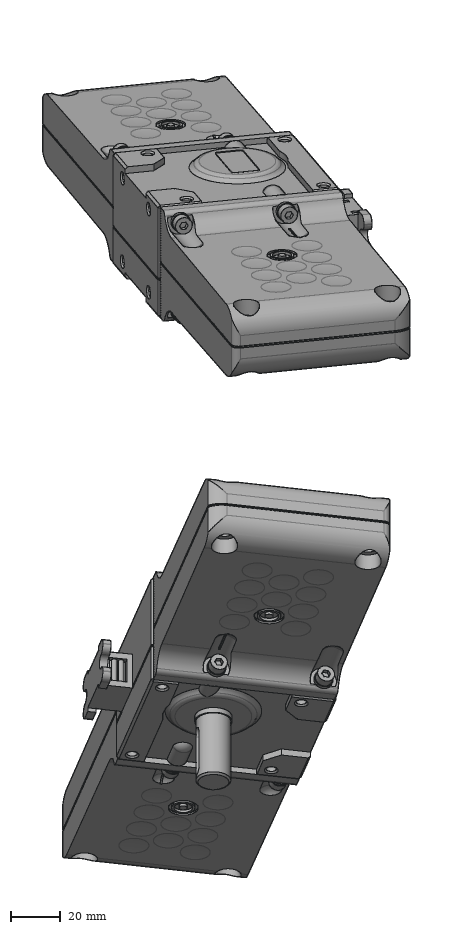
import cadquery as cq
import math


HUB_HALF_X = 33.0
HUB_HALF_Y = 38.0
HUB_HALF_Z = 24.0
HUB_CHAMFER = 1.0
HUB_SEAM_Z = -7.5
SEAM_WIDTH = 0.7
SEAM_DEPTH = 0.5

RECESS_FLOOR_Z = 21.2
BACK_PAD_Y = 26.7
FRONT_PAD_Y = -19.8
FRONT_PAD_X = 14.8
PAD_CORNER_CUT = 6.2

SHAFT_X = -9.2
SHAFT_Y = 7.3
BOSS_BASE_RADIUS = 19.4
BOSS_MIDDLE_RADIUS = 17.5
BOSS_TOP_RADIUS = 15.4
BOSS_MIDDLE_Z = 22.8
BOSS_TOP_Z = 23.8
BOSS_CLEARANCE_RADIUS = 20.4
LABEL_LENGTH = 25.0
LABEL_WIDTH = 11.6
LABEL_CORNER_RADIUS = 1.0
LABEL_DEPTH = 0.4

TAP_DIAMETER = 4.13
TAP_MOUTH_DIAMETER = 5.5
TAP_DEPTH = 9.0
TAP_TIP_ANGLE = 118.0
TOP_HOLE_X = 27.8
TOP_HOLE_BACK_Y = 32.5
TOP_HOLE_FRONT_Y = -24.7
FRONT_HOLE_X = 18.7
FRONT_HOLE_Z = 17.8

BOLT_BACK_Y = 13.0
BOLT_FRONT_Y = -31.0
BOLT_Z = 19.2
THREAD_BOSS_RADIUS = 4.5
THREAD_BOSS_ROUND_X = 22.0
BOLT_SEAT_X = 39.7
WASHER_DIAMETER = 7.6
WASHER_THICKNESS = 1.6
HEAD_DIAMETER = 7.0
HEAD_HEIGHT = 4.0
HEX_ACROSS_CORNERS = 3.46
HEX_DEPTH = 2.0
SLOT_RADIUS = 5.5
SLOT_ROUND_X = 57.5
SLOT_SLIT_WIDTH = 0.7
SLOT_SLIT_DEPTH = 0.5
SLOT_SLIT_START_X = 45.5

WING_TIP_X = 137.5
WING_HALF_Y = 37.3
RIM_HALF_Z = 23.6
RIM_FLAT_END_X = 37.1
RIM_EDGE_Z = 22.0
NECK_RADIUS = 10.5
NECK_END_X = 49.0
WING_ROOT_HALF_Z = 15.9
WING_TIP_HALF_Z = 15.1
TIP_EDGE_RADIUS = 10.22
TIP_BACK_RADIUS = 10.0
TIP_BACK_LENGTH = 7.0
TIP_FRONT_RADIUS = 3.0

TIP_HOLE_X = 129.5
TIP_HOLE_Y = 29.5
TIP_HOLE_DIAMETER = 6.1
TIP_COUNTERBORE_DIAMETER = 10.5
TIP_COUNTERBORE_FLOOR_Z = 8.5

DIMPLE_DIAMETER = 12.0
DIMPLE_DEPTH = 0.4
DIMPLE_PITCH = 14.0
DIMPLE_ROW_PITCH = 12.6
DIMPLE_FIRST_X = 72.5
OUTER_ROW_COUNT = 4
MIDDLE_ROW_COUNT = 3
PLUG_GROOVE_INNER_DIAMETER = 9.5
PLUG_GROOVE_DEPTH = 0.8
PLUG_BORE_DIAMETER = 7.6
PLUG_BORE_DEPTH = 1.2
PLUG_CORE_DIAMETER = 3.24

SHAFT_DIAMETER = 14.0
SHAFT_END_Z = -54.0
SHAFT_CHAMFER = 0.8
COLLAR_DIAMETER = 15.0
COLLAR_END_Z = -26.0
SHAFT_SEAT_Z = -9.0
KEYWAY_WIDTH = 5.0
KEYWAY_DEPTH = 3.0
KEYWAY_TOP_Z = -30.0
KEYWAY_BOTTOM_Z = -52.0

CONNECTOR_X = 12.3
CONNECTOR_WIDTH = 19.5
CONNECTOR_HALF_Z = 7.8
CONNECTOR_END_Y = 52.0
FLANGE_LENGTH = 36.4
FLANGE_HEIGHT = 19.0
FLANGE_THICKNESS = 3.4
FLANGE_CORNER_RADIUS = 3.1
FLANGE_NOTCH_RADIUS = 3.1
FLANGE_NOTCH_DEPTH = 6.4
SIDE_POCKET_START_Y = 40.3
SIDE_POCKET_END_Y = 47.3
SIDE_POCKET_HALF_Z = 5.2
SIDE_POCKET_DEPTH = 2.5
POCKET_BAR_DIAMETER = 2.3
POCKET_BARS_Y = (42.2, 45.0)
LATCH_WIDTH = 1.8
LATCH_LENGTH = 2.5
LATCH_DEPTH = 1.0
LATCH_INSET_X = 3.2
LATCH_OUTER_Y = 48.2
LATCH_INNER_Y = 41.8

OVERCUT = 1.0


def box_between(x0, x1, y0, y1, z0, z1):
    """Box between two opposite corners."""
    return cq.Workplane("XY").box(x1 - x0, y1 - y0, z1 - z0, centered=False).translate((x0, y0, z0))


def cylinder_x(radius, x0, x1, y, z):
    """Cylinder along X."""
    return cq.Workplane("YZ", origin=(x0, y, z)).circle(radius).extrude(x1 - x0)


def cylinder_z(diameter, x, y, z0, z1):
    """Cylinder along Z."""
    return cq.Workplane("XY", origin=(x, y, z0)).circle(diameter / 2).extrude(z1 - z0)


def sphere_at(radius, x, y, z):
    """Ball around a point."""
    return cq.Workplane("XY").sphere(radius).translate((x, y, z))


def upside_down(shape):
    """Mirror image of a shape in the plane Z = 0."""
    return shape.mirror("XY")



def tapped_hole():
    """Cutter for a tapped hole that enters along -Z from the origin."""
    radius = TAP_DIAMETER / 2
    mouth = TAP_MOUTH_DIAMETER / 2
    tip = radius / math.tan(math.radians(TAP_TIP_ANGLE / 2))
    return (
        cq.Workplane("XZ")
        .moveTo(0, 0)
        .lineTo(mouth, 0)
        .lineTo(radius, radius - mouth)
        .lineTo(radius, -TAP_DEPTH)
        .lineTo(0, -TAP_DEPTH - tip)
        .close()
        .revolve(360, (0, 0, 0), (0, 1, 0))
    )


def hub_recess():
    """Cutter for the top recess of the hub, with room for the round boss in the back pad."""
    side = HUB_HALF_X + OVERCUT
    front = -HUB_HALF_Y - OVERCUT
    corner_x = FRONT_PAD_X + PAD_CORNER_CUT
    corner_y = FRONT_PAD_Y - PAD_CORNER_CUT
    outline = [
        (-side, BACK_PAD_Y),
        (side, BACK_PAD_Y),
        (side, FRONT_PAD_Y),
        (corner_x, FRONT_PAD_Y),
        (FRONT_PAD_X, corner_y),
        (FRONT_PAD_X, front),
        (-FRONT_PAD_X, front),
        (-FRONT_PAD_X, corner_y),
        (-corner_x, FRONT_PAD_Y),
        (-side, FRONT_PAD_Y),
    ]
    height = HUB_HALF_Z - RECESS_FLOOR_Z + OVERCUT
    floor = cq.Workplane("XY", origin=(0, 0, RECESS_FLOOR_Z))
    clearance = cylinder_z(
        2 * BOSS_CLEARANCE_RADIUS, SHAFT_X, SHAFT_Y, RECESS_FLOOR_Z, RECESS_FLOOR_Z + height
    )
    return floor.polyline(outline).close().extrude(height).union(clearance)


def round_boss():
    """Boss with a rounded rim and a hollow foot on the recess floor, around the shaft axis."""
    root_z = RECESS_FLOOR_Z - OVERCUT
    return (
        cq.Workplane("XZ")
        .moveTo(0, root_z)
        .lineTo(0, BOSS_TOP_Z)
        .lineTo(BOSS_TOP_RADIUS, BOSS_TOP_Z)
        .tangentArcPoint((BOSS_MIDDLE_RADIUS, BOSS_MIDDLE_Z), relative=False)
        .tangentArcPoint((BOSS_BASE_RADIUS, RECESS_FLOOR_Z), relative=False)
        .lineTo(BOSS_BASE_RADIUS, root_z)
        .close()
        .revolve(360, (0, 0, 0), (0, 1, 0))
        .translate((SHAFT_X, SHAFT_Y, 0))
    )


def thread_boss():
    """Round-ended half boss for a back bolt, on the right side of the recess."""
    barrel = cylinder_x(THREAD_BOSS_RADIUS, THREAD_BOSS_ROUND_X, HUB_HALF_X, BOLT_BACK_Y, BOLT_Z)
    return barrel.union(sphere_at(THREAD_BOSS_RADIUS, THREAD_BOSS_ROUND_X, BOLT_BACK_Y, BOLT_Z))


def hub_seam():
    """Cutter for the seam groove around the hub."""
    x = HUB_HALF_X - SEAM_DEPTH
    y = HUB_HALF_Y - SEAM_DEPTH
    z0 = HUB_SEAM_Z - SEAM_WIDTH / 2
    z1 = HUB_SEAM_Z + SEAM_WIDTH / 2
    outer = box_between(
        -HUB_HALF_X - OVERCUT, HUB_HALF_X + OVERCUT, -HUB_HALF_Y - OVERCUT, HUB_HALF_Y + OVERCUT, z0, z1
    )
    return outer.cut(box_between(-x, x, -y, y, z0, z1))


def connector():
    """Flanged connector that stands on the back face of the hub."""
    left = CONNECTOR_X - CONNECTOR_WIDTH / 2
    right = CONNECTOR_X + CONNECTOR_WIDTH / 2
    flange_y = CONNECTOR_END_Y - FLANGE_THICKNESS
    stem = box_between(
        left, right, HUB_HALF_Y - OVERCUT, CONNECTOR_END_Y, -CONNECTOR_HALF_Z, CONNECTOR_HALF_Z
    )

    flange = (
        cq.Workplane("XY")
        .box(FLANGE_LENGTH, FLANGE_THICKNESS, FLANGE_HEIGHT)
        .translate((CONNECTOR_X, CONNECTOR_END_Y - FLANGE_THICKNESS / 2, 0))
    )
    for side in (-1, 1):
        mouth_x = CONNECTOR_X + side * FLANGE_LENGTH / 2
        notch = (
            cq.Workplane("XZ", origin=(mouth_x, flange_y - OVERCUT, 0))
            .slot2D(2 * FLANGE_NOTCH_DEPTH, 2 * FLANGE_NOTCH_RADIUS)
            .extrude(-FLANGE_THICKNESS - 2 * OVERCUT)
        )
        flange = flange.cut(notch)
    flange = flange.faces("<X or >X").edges("|Y").fillet(FLANGE_CORNER_RADIUS)

    flange = flange.cut(
        box_between(left, right, flange_y, CONNECTOR_END_Y, -FLANGE_HEIGHT, FLANGE_HEIGHT)
    )

    pocket = box_between(
        left - OVERCUT,
        left + SIDE_POCKET_DEPTH,
        SIDE_POCKET_START_Y,
        SIDE_POCKET_END_Y,
        -SIDE_POCKET_HALF_Z,
        SIDE_POCKET_HALF_Z,
    )
    stem = stem.cut(pocket)
    for bar_y in POCKET_BARS_Y:
        bar = cylinder_z(
            POCKET_BAR_DIAMETER,
            left + SIDE_POCKET_DEPTH - POCKET_BAR_DIAMETER / 4,
            bar_y,
            -SIDE_POCKET_HALF_Z - OVERCUT,
            SIDE_POCKET_HALF_Z + OVERCUT,
        )
        stem = stem.union(bar)

    latch_places = [
        (left + LATCH_INSET_X, LATCH_OUTER_Y),
        (left + LATCH_INSET_X, LATCH_INNER_Y),
        (right - LATCH_INSET_X, LATCH_OUTER_Y),
    ]
    latches = (
        cq.Workplane("XY", origin=(0, 0, CONNECTOR_HALF_Z))
        .pushPoints(latch_places)
        .rect(LATCH_WIDTH, LATCH_LENGTH)
        .extrude(-LATCH_DEPTH)
    )
    return stem.union(flange).cut(latches)


def shaft_blank():
    """Shaft and collar without the keyway."""
    collar = cylinder_z(COLLAR_DIAMETER, SHAFT_X, SHAFT_Y, COLLAR_END_Z, SHAFT_SEAT_Z)
    stem = cylinder_z(SHAFT_DIAMETER, SHAFT_X, SHAFT_Y, SHAFT_END_Z, COLLAR_END_Z)
    return collar.union(stem.faces("<Z").chamfer(SHAFT_CHAMFER))


def make_hub():
    hub = cq.Workplane("XY").box(2 * HUB_HALF_X, 2 * HUB_HALF_Y, 2 * HUB_HALF_Z)
    hub = hub.edges().chamfer(HUB_CHAMFER)
    hub = hub.cut(hub_recess()).cut(upside_down(hub_recess()))

    right_boss = thread_boss()
    for boss in (round_boss(), right_boss, right_boss.mirror("YZ")):
        hub = hub.union(boss).union(upside_down(boss))
    hub = hub.cut(hub_seam())

    label = (
        cq.Workplane("XY")
        .box(LABEL_LENGTH, LABEL_WIDTH, 2 * LABEL_DEPTH)
        .edges("|Z")
        .fillet(LABEL_CORNER_RADIUS)
        .translate((SHAFT_X, SHAFT_Y, BOSS_TOP_Z))
    )
    hub = hub.cut(label)

    front_hole = tapped_hole().rotate((0, 0, 0), (1, 0, 0), 90)
    for side in (-1, 1):
        for y in (TOP_HOLE_FRONT_Y, TOP_HOLE_BACK_Y):
            top_hole = tapped_hole().translate((side * TOP_HOLE_X, y, HUB_HALF_Z))
            hub = hub.cut(top_hole).cut(upside_down(top_hole))
        for z in (-FRONT_HOLE_Z, FRONT_HOLE_Z):
            hub = hub.cut(front_hole.translate((side * FRONT_HOLE_X, -HUB_HALF_Y, z)))

    return hub.union(connector()).cut(shaft_blank())



def make_shaft():
    keyway_floor = SHAFT_Y + SHAFT_DIAMETER / 2 - KEYWAY_DEPTH
    keyway = (
        cq.Workplane("XZ", origin=(SHAFT_X, keyway_floor, (KEYWAY_TOP_Z + KEYWAY_BOTTOM_Z) / 2))
        .slot2D(KEYWAY_TOP_Z - KEYWAY_BOTTOM_Z, KEYWAY_WIDTH, 90)
        .extrude(-KEYWAY_DEPTH - OVERCUT)
    )
    return shaft_blank().cut(keyway)



def wing_half_thickness(x):
    """Height of the sloping wing face above the seam at a distance x from the middle."""
    share = (x - NECK_END_X) / (WING_TIP_X - NECK_END_X)
    return WING_ROOT_HALF_Z + share * (WING_TIP_HALF_Z - WING_ROOT_HALF_Z)


def wing_profile():
    """Upper half of the wing, with the side outline carried straight along Y."""
    neck_center_z = WING_ROOT_HALF_Z + NECK_RADIUS
    rim_edge_x = NECK_END_X - math.sqrt(NECK_RADIUS**2 - (neck_center_z - RIM_EDGE_Z) ** 2)
    neck_middle = NECK_RADIUS * math.sqrt(0.5)
    return (
        cq.Workplane("XZ", origin=(0, WING_HALF_Y, 0))
        .moveTo(HUB_HALF_X, 0)
        .lineTo(HUB_HALF_X, RIM_HALF_Z)
        .lineTo(RIM_FLAT_END_X, RIM_HALF_Z)
        .tangentArcPoint((rim_edge_x, RIM_EDGE_Z), relative=False)
        .threePointArc(
            (NECK_END_X - neck_middle, neck_center_z - neck_middle),
            (NECK_END_X, WING_ROOT_HALF_Z),
        )
        .lineTo(WING_TIP_X, WING_TIP_HALF_Z)
        .lineTo(WING_TIP_X, 0)
        .close()
        .extrude(2 * WING_HALF_Y)
        .edges(cq.selectors.NearestToPointSelector((WING_TIP_X, 0, WING_TIP_HALF_Z)))
        .fillet(TIP_EDGE_RADIUS)
    )


def wing_plan(inset, half_height):
    """Plate with the plan outline of the wing, its three free sides moved inwards by inset."""
    tip = WING_TIP_X - inset
    back = WING_HALF_Y - inset
    arc_start_y = WING_HALF_Y - TIP_BACK_LENGTH
    reach = back - arc_start_y
    back_radius = TIP_BACK_RADIUS - inset
    back_x = tip - back_radius + math.sqrt(back_radius**2 - reach**2)
    half_angle = math.asin(reach / back_radius) / 2
    arc_middle = (
        tip - back_radius * (1 - math.cos(half_angle)),
        arc_start_y + back_radius * math.sin(half_angle),
    )
    front_radius = TIP_FRONT_RADIUS - inset
    return (
        cq.Workplane("XY", origin=(0, 0, -half_height))
        .moveTo(HUB_HALF_X, -back)
        .lineTo(tip - front_radius, -back)
        .tangentArcPoint((tip, -back + front_radius), relative=False)
        .lineTo(tip, arc_start_y)
        .threePointArc(arc_middle, (back_x, back))
        .lineTo(HUB_HALF_X, back)
        .close()
        .extrude(2 * half_height)
    )


def bolt_slot(y):
    """Cutter for the round-ended bolt slot along the wing face."""
    barrel = cylinder_x(SLOT_RADIUS, BOLT_SEAT_X, SLOT_ROUND_X, y, BOLT_Z)
    return barrel.union(sphere_at(SLOT_RADIUS, SLOT_ROUND_X, y, BOLT_Z))


def slot_slit():
    """Cutter for the thin slit along the bottom of a back bolt slot."""
    half = SLOT_SLIT_WIDTH / 2
    channel = cylinder_x(SLOT_RADIUS + SLOT_SLIT_DEPTH, SLOT_SLIT_START_X, SLOT_ROUND_X, BOLT_BACK_Y, BOLT_Z)
    end = sphere_at(SLOT_RADIUS + SLOT_SLIT_DEPTH, SLOT_ROUND_X, BOLT_BACK_Y, BOLT_Z)
    strip = box_between(SLOT_SLIT_START_X, WING_TIP_X, BOLT_BACK_Y - half, BOLT_BACK_Y + half, 0, BOLT_Z)
    return channel.union(end).intersect(strip)


def bolt(y):
    """Washer and socket head on the bolt seat."""
    washer_end = BOLT_SEAT_X + WASHER_THICKNESS
    head_end = washer_end + HEAD_HEIGHT
    washer = cylinder_x(WASHER_DIAMETER / 2, BOLT_SEAT_X, washer_end, y, BOLT_Z)
    head = cylinder_x(HEAD_DIAMETER / 2, washer_end, head_end, y, BOLT_Z)
    socket_face = cq.Workplane("YZ", origin=(head_end, y, BOLT_Z))
    socket = socket_face.polygon(6, HEX_ACROSS_CORNERS).extrude(-HEX_DEPTH)
    return washer.union(head).cut(socket)


def tip_hole(y):
    """Cutter for a through hole with a counterbore from the upper face."""
    hole = cylinder_z(TIP_HOLE_DIAMETER, TIP_HOLE_X, y, -RIM_HALF_Z, RIM_HALF_Z)
    return hole.union(
        cylinder_z(TIP_COUNTERBORE_DIAMETER, TIP_HOLE_X, y, TIP_COUNTERBORE_FLOOR_Z, RIM_HALF_Z)
    )


def dimple(x, y):
    """Cutter for a shallow spherical dimple in the upper face."""
    ball_radius = ((DIMPLE_DIAMETER / 2) ** 2 + DIMPLE_DEPTH**2) / (2 * DIMPLE_DEPTH)
    center_z = wing_half_thickness(x) - DIMPLE_DEPTH + ball_radius
    ball = cq.Workplane("XY").sphere(ball_radius).rotate((0, 0, 0), (1, 0, 0), 90)
    return ball.translate((x, y, center_z))


def plug(x, y):
    """Cutter for the rings of the plug: an outer groove and a bore around a round core."""
    face_z = wing_half_thickness(x)
    groove_z = face_z - PLUG_GROOVE_DEPTH
    bore_z = face_z - PLUG_BORE_DEPTH
    top = face_z + OVERCUT
    groove = cylinder_z(DIMPLE_DIAMETER, x, y, groove_z, top)
    groove = groove.cut(cylinder_z(PLUG_GROOVE_INNER_DIAMETER, x, y, groove_z, top))
    bore = cylinder_z(PLUG_BORE_DIAMETER, x, y, bore_z, top)
    bore = bore.cut(cylinder_z(PLUG_CORE_DIAMETER, x, y, bore_z, top))
    return groove.union(bore)


def face_pattern():
    """Cutters for the dimples and the plug of the upper face."""
    cutters = []
    for column in range(OUTER_ROW_COUNT):
        x = DIMPLE_FIRST_X + column * DIMPLE_PITCH
        for y in (-DIMPLE_ROW_PITCH, DIMPLE_ROW_PITCH):
            cutters.append(dimple(x, y))
    middle_x = DIMPLE_FIRST_X + DIMPLE_PITCH / 2
    cutters.append(plug(middle_x, 0))
    for column in range(1, MIDDLE_ROW_COUNT):
        cutters.append(dimple(middle_x + column * DIMPLE_PITCH, 0))
    return cutters


def make_right_wing():
    upper = wing_profile()
    wing = upper.union(upside_down(upper)).intersect(wing_plan(0, RIM_HALF_Z))
    seam = wing_plan(0, SEAM_WIDTH / 2).cut(wing_plan(SEAM_DEPTH, SEAM_WIDTH / 2))
    wing = wing.cut(seam)

    cutters = face_pattern() + [slot_slit()]
    for y in (BOLT_FRONT_Y, BOLT_BACK_Y):
        cutters.append(bolt_slot(y))
    for y in (-TIP_HOLE_Y, TIP_HOLE_Y):
        cutters.append(tip_hole(y))
    for cutter in cutters:
        wing = wing.cut(cutter).cut(upside_down(cutter))

    for y in (BOLT_FRONT_Y, BOLT_BACK_Y):
        wing = wing.union(bolt(y)).union(upside_down(bolt(y)))
    return wing


hub = make_hub()
shaft = make_shaft()
right_wing = make_right_wing()
left_wing = right_wing.mirror("YZ")

result = cq.Compound.makeCompound([hub.val(), shaft.val(), right_wing.val(), left_wing.val()])